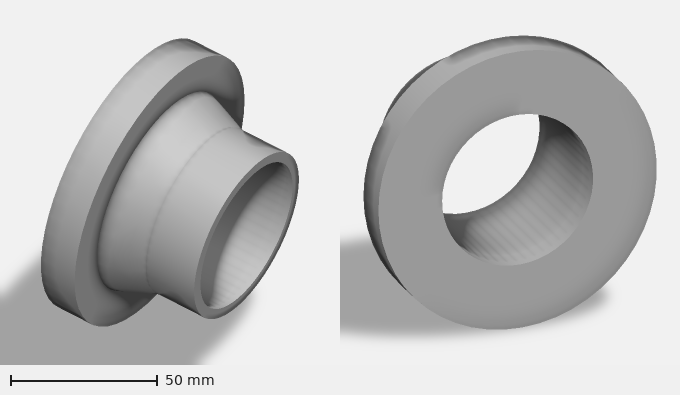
import cadquery as cq

flange_diameter = 102.0
flange_thickness = 14.0
neck_root_diameter = 75.0
neck_length = 16.0
pipe_diameter = 62.9
pipe_length = 20.0
bore_diameter = 55.3

flange_radius = flange_diameter / 2
neck_root_radius = neck_root_diameter / 2
pipe_radius = pipe_diameter / 2
bore_radius = bore_diameter / 2

total_length = flange_thickness + neck_length + pipe_length
flange_face = -total_length / 2
neck_start = flange_face + flange_thickness
neck_end = neck_start + neck_length
pipe_end = neck_end + pipe_length

half_section = (
    cq.Workplane("XY")
    .moveTo(flange_face, bore_radius)
    .lineTo(flange_face, flange_radius)
    .lineTo(neck_start, flange_radius)
    .lineTo(neck_start, neck_root_radius)
    .lineTo(neck_end, pipe_radius)
    .lineTo(pipe_end, pipe_radius)
    .lineTo(pipe_end, bore_radius)
    .close()
)

result = half_section.revolve(360, (0, 0, 0), (1, 0, 0))